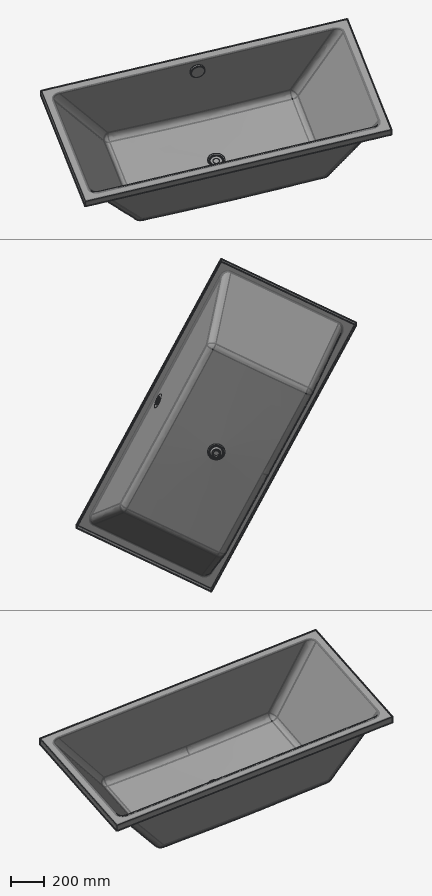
import cadquery as cq
import math

RIM_WIDTH = 900.0
RIM_LENGTH = 1900.0
RIM_HEIGHT = 48.0
RIM_EDGE_RADIUS = 5.0
SHELL = 5.0

CAVITY_HALF_WIDTH = 395.0
CAVITY_HALF_LENGTH = 897.0
SIDE_SLOPE = 0.12
END_SLOPE = 0.7
FLOOR_DEPTH = 462.0
FLOOR_FALL = 0.026
CAVITY_RADIUS = 40.0
MOUTH_RADIUS = 6.7
BLANK_DEPTH = FLOOR_DEPTH + 38.0
FLOOR_TOOL_RADIUS = RIM_LENGTH / 2

OVERFLOW_DEPTH = 76.0
DISC_DIAMETER = 90.0
DISC_THICKNESS = 17.0
DISC_CHAMFER = 4.0
TUBE_DIAMETER = 51.0
TUBE_MOUTH_DIAMETER = 44.0
TUBE_MOUTH_DEPTH = 4.0
TUBE_BORE_DIAMETER = 36.0
TUBE_BORE_DEPTH = 8.0

DRAIN_DEPTH = 494.0
SINK_DIAMETER = 103.0
SINK_DEPTH = 2.9
COLLAR_DIAMETER = 82.0
CUP_DIAMETER = 90.0
CUP_TAPER_TOP = FLOOR_DEPTH + SHELL
CUP_TAPER_BOTTOM = 483.0
SPIGOT_DIAMETER = 51.0
SPIGOT_BORE = 38.0
PLUG_DIAMETER = 75.0
PLUG_THICKNESS = 5.0
CUP_TOP = FLOOR_DEPTH + SINK_DEPTH


def cylinder(diameter, top_depth, bottom_depth):
    """Upright cylinder on the Z axis between two depths below the rim."""
    return (
        cq.Workplane("XY", origin=(0, 0, -bottom_depth))
        .circle(diameter / 2)
        .extrude(bottom_depth - top_depth)
    )


def basin(offset):
    """Solid inside the basin walls, grown outwards by offset."""
    half_width = CAVITY_HALF_WIDTH + offset * math.hypot(1, SIDE_SLOPE)
    half_length = CAVITY_HALF_LENGTH + offset * math.hypot(1, END_SLOPE)
    floor_depth = FLOOR_DEPTH + offset

    blank = (
        cq.Workplane("XY")
        .rect(2 * half_width, 2 * half_length)
        .workplane(offset=-BLANK_DEPTH)
        .rect(
            2 * (half_width - SIDE_SLOPE * BLANK_DEPTH),
            2 * (half_length - END_SLOPE * BLANK_DEPTH),
        )
        .loft(ruled=True)
    )
    below_floor = (
        cq.Workplane("XZ")
        .moveTo(0, -floor_depth)
        .lineTo(FLOOR_TOOL_RADIUS, FLOOR_FALL * FLOOR_TOOL_RADIUS - floor_depth)
        .lineTo(FLOOR_TOOL_RADIUS, -2 * BLANK_DEPTH)
        .lineTo(0, -2 * BLANK_DEPTH)
        .close()
        .revolve(360, (0, 0, 0), (0, 1, 0))
    )
    shape = blank.cut(below_floor)
    rounded_edges = shape.faces("<X or >X or <Y or >Y").edges("not >Z")
    return rounded_edges.fillet(CAVITY_RADIUS + offset)


def make_rim():
    """Top sheet and turned-down lip, open underneath."""
    block = (
        cq.Workplane("XY", origin=(0, 0, -RIM_HEIGHT))
        .rect(RIM_WIDTH, RIM_LENGTH)
        .extrude(RIM_HEIGHT)
        .edges("|Z or >Z")
        .fillet(RIM_EDGE_RADIUS)
    )
    hollow = (
        cq.Workplane("XY", origin=(0, 0, -RIM_HEIGHT))
        .rect(RIM_WIDTH - 2 * SHELL, RIM_LENGTH - 2 * SHELL)
        .extrude(RIM_HEIGHT - SHELL)
    )
    return block.cut(hollow)


def overflow_plane():
    """Plane on the inner face of the -X wall, its normal pointing into the basin."""
    wall_x = SIDE_SLOPE * OVERFLOW_DEPTH - CAVITY_HALF_WIDTH
    return cq.Plane(
        origin=(wall_x, 0, -OVERFLOW_DEPTH),
        xDir=(0, 1, 0),
        normal=(1, 0, SIDE_SLOPE),
    )


def overflow_tube():
    return cq.Workplane(overflow_plane()).circle(TUBE_DIAMETER / 2).extrude(-SHELL)


def make_tub():
    tub = make_rim().union(basin(SHELL)).cut(basin(0))
    mouth = cq.selectors.BoxSelector(
        (-CAVITY_HALF_WIDTH - SHELL, -CAVITY_HALF_LENGTH - SHELL, -SHELL),
        (CAVITY_HALF_WIDTH + SHELL, CAVITY_HALF_LENGTH + SHELL, SHELL),
    )
    tub = tub.edges(mouth).fillet(MOUTH_RADIUS)

    sink_top = FLOOR_DEPTH - FLOOR_FALL * SINK_DIAMETER / 2
    sink = cq.Workplane(
        cq.Solid.makeCone(
            COLLAR_DIAMETER / 2,
            SINK_DIAMETER / 2,
            CUP_TOP - sink_top,
            pnt=cq.Vector(0, 0, -CUP_TOP),
        )
    )
    drain_hole = cylinder(COLLAR_DIAMETER, FLOOR_DEPTH - SHELL, DRAIN_DEPTH)
    return tub.cut(sink).cut(drain_hole).cut(overflow_tube())


def make_overflow():
    disc = (
        cq.Workplane(overflow_plane())
        .circle(DISC_DIAMETER / 2)
        .extrude(DISC_THICKNESS)
        .faces(">X")
        .chamfer(DISC_CHAMFER)
    )
    tube_end = cq.Workplane(overflow_plane()).workplane(offset=-SHELL)
    mouth = tube_end.circle(TUBE_MOUTH_DIAMETER / 2).extrude(TUBE_MOUTH_DEPTH)
    bore = tube_end.circle(TUBE_BORE_DIAMETER / 2).extrude(TUBE_BORE_DEPTH)
    return disc.union(overflow_tube()).cut(mouth).cut(bore)


def make_drain_cup():
    taper = cq.Workplane(
        cq.Solid.makeCone(
            SPIGOT_DIAMETER / 2,
            CUP_DIAMETER / 2,
            CUP_TAPER_BOTTOM - CUP_TAPER_TOP,
            pnt=cq.Vector(0, 0, -CUP_TAPER_BOTTOM),
        )
    )
    collar = cylinder(COLLAR_DIAMETER, CUP_TOP, CUP_TAPER_TOP)
    spigot = cylinder(SPIGOT_DIAMETER, CUP_TAPER_BOTTOM, DRAIN_DEPTH)
    bore = cylinder(SPIGOT_BORE, CUP_TOP, DRAIN_DEPTH)
    return collar.union(taper).union(spigot).cut(bore).cut(make_drain_plug())


def make_drain_plug():
    return cylinder(PLUG_DIAMETER, CUP_TOP, CUP_TOP + PLUG_THICKNESS)


tub = make_tub()
overflow = make_overflow()
drain_cup = make_drain_cup()
drain_plug = make_drain_plug()

result = cq.Compound.makeCompound([
    tub.solids().val(),
    overflow.solids().val(),
    drain_cup.solids().val(),
    drain_plug.solids().val(),
])